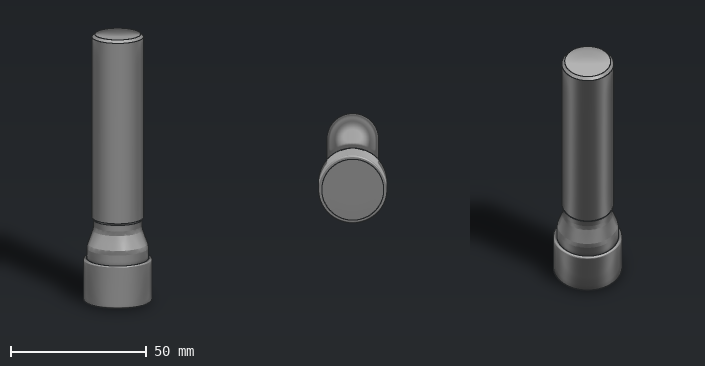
import cadquery as cq

total_length = 101.6

collar_radius = 25.4 / 2
collar_height = 16.1
collar_top_round = 0.5
collar_bottom_round = 0.7

seat_radius = 22.9 / 2
neck_radius = 18.0 / 2
shank_radius = 19.2 / 2
tip_radius = 17.0 / 2
cone_bottom = 20.8
cone_top = 27.6
cone_blend_radius = 5.0
shank_bottom = 30.9
shank_chamfer_height = 0.8
tip_chamfer_height = 1.0

pick_margin = 0.1


def make_collar():
    """Plain ring with rounded outer edges and a bore that fits the seat."""
    ring = cq.Workplane("XY").circle(collar_radius).extrude(collar_height)
    ring = ring.faces(">Z").edges().fillet(collar_top_round)
    ring = ring.faces("<Z").edges().fillet(collar_bottom_round)
    bore = cq.Workplane("XY").circle(seat_radius).extrude(collar_height)
    return ring.cut(bore)


def edges_at_height(body, height):
    """Pick the edges of a body whose centers lie at the given height."""
    low_corner = (-seat_radius, -seat_radius, height - pick_margin)
    high_corner = (seat_radius, seat_radius, height + pick_margin)
    return body.edges(cq.selectors.BoxSelector(low_corner, high_corner))


def make_pin():
    """Revolved pin whose seat blends through a cone into the neck."""
    profile = (
        cq.Workplane("XZ")
        .lineTo(seat_radius, 0)
        .lineTo(seat_radius, cone_bottom)
        .lineTo(neck_radius, cone_top)
        .lineTo(neck_radius, shank_bottom)
        .lineTo(shank_radius, shank_bottom + shank_chamfer_height)
        .lineTo(shank_radius, total_length - tip_chamfer_height)
        .lineTo(tip_radius, total_length)
        .lineTo(0, total_length)
        .close()
    )
    pin = profile.revolve(360, (0, 0, 0), (0, 1, 0))
    for height in (cone_bottom, cone_top):
        pin = edges_at_height(pin, height).fillet(cone_blend_radius)
    return pin


collar = make_collar()
pin = make_pin()
result = cq.Compound.makeCompound([collar.solids().val(), pin.solids().val()])